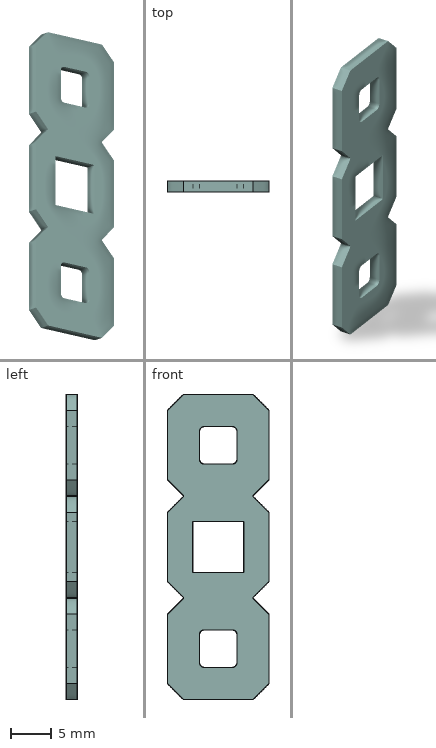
import cadquery as cq

length = 38.1
cell_count = 3
cell = length / cell_count
width = cell
thickness = 1.4
corner_cut = 2.0
notch_floor = 0.1

center_window = cell / 2
end_window = 4.65
end_window_radius = 0.57


def window(size, z):
    """Square cutter through the plate, centred at height z."""
    return cq.Workplane("XY").box(size, thickness, size).translate((0, 0, z))


def notch(side, z):
    """Flat-bottomed V notch cutter in the edge at X = side * width / 2."""
    edge = side * width / 2
    floor = edge - side * corner_cut
    mouth = corner_cut + notch_floor / 2
    points = [
        (edge, z - mouth),
        (floor, z - notch_floor / 2),
        (floor, z + notch_floor / 2),
        (edge, z + mouth),
    ]
    return cq.Workplane("XZ").polyline(points).close().extrude(thickness / 2, both=True)


plate = cq.Workplane("XY").box(width, thickness, length).edges("|Y").chamfer(corner_cut)

for side in (-1, 1):
    for z in (-cell / 2, cell / 2):
        plate = plate.cut(notch(side, z))

plate = plate.cut(window(center_window, 0))

for z in (-cell, cell):
    plate = plate.cut(window(end_window, z).edges("|Y").fillet(end_window_radius))

result = plate